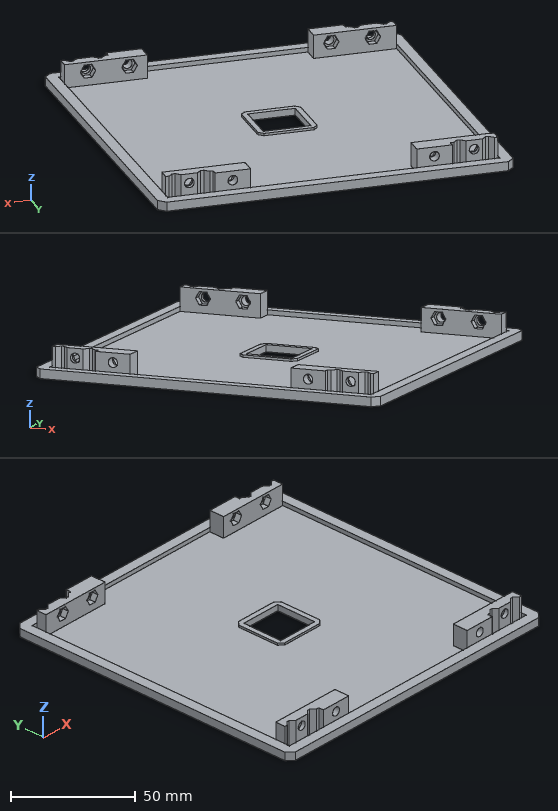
import cadquery as cq
import math

plate_size = 150.0
rim_width = 5.0
rim_height = 4.0
floor_thickness = 2.0
corner_chamfer = 3.0
inner_half = plate_size / 2 - rim_width

window_size = 20.0
collar_width = 2.5
collar_height = 3.0
collar_chamfer = 2.0

overall_height = 12.0
block_length = 35.0
block_depth = 7.5
bolt_diameter = 4.0
bolt_spacing = 17.5
first_bolt_inset = 10.0
bolt_height = 8.0

nut_flat_width = 5.5
nut_corner_diameter = nut_flat_width / math.cos(math.pi / 6)
nut_pocket_depth = 3.0

recess_length = 20.0
recess_depth = 2.5
groove_depth = 1.9
groove_bottom_width = 1.3
groove_mouth_width = groove_bottom_width + 2 * groove_depth
groove_spacing = 12.1
first_groove_inset = first_bolt_inset - groove_spacing / 2


def square_prism(size, bottom, top):
    """Square prism centred on the Z axis."""
    return cq.Workplane("XY").workplane(offset=bottom).rect(size, size).extrude(top - bottom)


def make_tray():
    """Plate with a rim around a sunken floor and a collar around the window."""
    collar_size = window_size + 2 * collar_width
    outer = square_prism(plate_size, 0, rim_height).edges("|Z").chamfer(corner_chamfer)
    hollow = square_prism(2 * inner_half, floor_thickness, rim_height)
    collar = square_prism(collar_size, 0, collar_height).edges("|Z").chamfer(collar_chamfer)
    window = square_prism(window_size, 0, collar_height)
    return outer.cut(hollow).union(collar).cut(window)


def make_block():
    """Block in the -X, -Y corner, reaching from the underside of the plate to full height."""
    block = cq.Workplane("XY").box(block_length, block_depth, overall_height, centered=False)
    return block.translate((-inner_half, -inner_half, 0))


def make_recess():
    """Full-height clip recess with its two grooves, in the -X, -Y corner."""
    recess = cq.Workplane("XY").box(recess_length, recess_depth, overall_height, centered=False)
    for index in range(2):
        center = first_groove_inset + index * groove_spacing
        groove = (
            cq.Workplane("XY")
            .moveTo(center - groove_mouth_width / 2, recess_depth)
            .lineTo(center + groove_mouth_width / 2, recess_depth)
            .lineTo(center + groove_bottom_width / 2, recess_depth + groove_depth)
            .lineTo(center - groove_bottom_width / 2, recess_depth + groove_depth)
            .close()
            .extrude(overall_height)
        )
        recess = recess.union(groove)
    return recess.translate((-inner_half, -inner_half, 0))


def bolt_points(depth):
    """Bolt centers on an XZ plane, the given depth in from the -Y side of the block."""
    first_bolt_x = -inner_half + first_bolt_inset
    centers = [(first_bolt_x + index * bolt_spacing, bolt_height) for index in range(2)]
    return cq.Workplane("XZ", origin=(0, -inner_half + depth, 0)).pushPoints(centers)


def make_bolt_holes():
    """Bolt holes along Y through the -X, -Y block, with their nut pockets."""
    shafts = bolt_points(0).circle(bolt_diameter / 2).extrude(-block_depth)
    pocket_start = block_depth - nut_pocket_depth
    nut_outline = bolt_points(pocket_start).polygon(6, nut_corner_diameter)
    pockets = nut_outline.extrude(-nut_pocket_depth)
    return shafts.union(pockets)


def at_four_corners(corner_shape):
    """The -X, -Y corner shape together with its mirror images."""
    pair = corner_shape.union(corner_shape.mirror("YZ"))
    return pair.union(pair.mirror("XZ"))


result = make_tray().union(at_four_corners(make_block()))
result = result.cut(at_four_corners(make_recess()))
result = result.cut(at_four_corners(make_bolt_holes()))